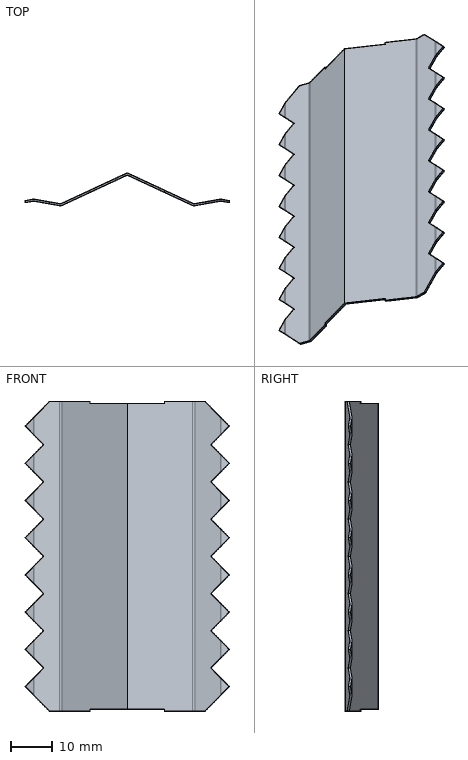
import cadquery as cq
import math

WIDTH = 49.38
DEPTH = 7.99
HEIGHT = 75.0
THICKNESS = 0.52

ROOF_ANGLE = math.radians(24.95)
WING_ANGLE = math.radians(10.0)
TIP_ANGLE = math.radians(10.0)

INNER_RADIUS = 0.5
OUTER_RADIUS = INNER_RADIUS + THICKNESS
TIP_BEND_X = 22.6

TOOTH_COUNT = 8
TOOTH_PITCH = 9.0
TOOTH_DEPTH = TOOTH_PITCH / 2 * math.cos(WING_ANGLE)
CORNER_HEIGHT = (HEIGHT - (TOOTH_COUNT - 1) * TOOTH_PITCH) / 2
CORNER_DEPTH = CORNER_HEIGHT * math.cos(WING_ANGLE)

RELIEF_WIDTH = 18.0
RELIEF_DEPTH = 0.5

TIP_X = WIDTH / 2


def fold_corner(center, radius, inner_slope, outer_slope):
    """Sharp corner of two panel faces tangent to a circle, above it if the radius is positive."""
    lean = (inner_slope + outer_slope) / 2
    reach = radius / math.cos((inner_slope - outer_slope) / 2)
    return center[0] - reach * math.sin(lean), center[1] + reach * math.cos(lean)


def folded_half():
    """The +X half of the sheet: roof slope, wing rising from the valley and turned-down tip."""
    valley_y = OUTER_RADIUS
    roof_drop = DEPTH - valley_y + INNER_RADIUS / math.cos(ROOF_ANGLE)
    valley_center = (roof_drop / math.tan(ROOF_ANGLE), valley_y)
    crown_near_y = DEPTH - THICKNESS / math.cos(ROOF_ANGLE)

    center_gap = OUTER_RADIUS + INNER_RADIUS
    bend_run = TIP_BEND_X - valley_center[0]
    bend_rise = bend_run * math.tan(WING_ANGLE) - center_gap / math.cos(WING_ANGLE)
    tip_center = (TIP_BEND_X, valley_y + bend_rise)

    valley_near = fold_corner(valley_center, -OUTER_RADIUS, -ROOF_ANGLE, WING_ANGLE)
    valley_far = fold_corner(valley_center, -INNER_RADIUS, -ROOF_ANGLE, WING_ANGLE)
    tip_near = fold_corner(tip_center, INNER_RADIUS, WING_ANGLE, -TIP_ANGLE)
    tip_far = fold_corner(tip_center, OUTER_RADIUS, WING_ANGLE, -TIP_ANGLE)

    end_x = TIP_X + THICKNESS
    end_near_y = tip_near[1] - (end_x - tip_near[0]) * math.tan(TIP_ANGLE)
    end_far_y = tip_far[1] - (end_x - tip_far[0]) * math.tan(TIP_ANGLE)

    section = [
        (0, crown_near_y),
        valley_near,
        tip_near,
        (end_x, end_near_y),
        (end_x, end_far_y),
        tip_far,
        valley_far,
        (0, DEPTH),
    ]
    half = cq.Workplane("XY").polyline(section).close().extrude(HEIGHT / 2, both=True)

    bends = [
        (valley_near, OUTER_RADIUS),
        (valley_far, INNER_RADIUS),
        (tip_near, INNER_RADIUS),
        (tip_far, OUTER_RADIUS),
    ]
    for (x, y), radius in bends:
        half = half.edges(cq.selectors.NearestToPointSelector((x, y, 0))).fillet(radius)
    return half


def folded_sheet():
    """Whole folded sheet, mirrored about the crown."""
    half = folded_half()
    return half.union(half.mirror("YZ"))


def toothed_outline():
    """Block whose XZ outline is the plate: clipped corners and toothed upright edges."""
    corner_x = TIP_X - CORNER_DEPTH
    top_z = HEIGHT / 2
    right_edge = [(corner_x, top_z)]
    for tooth in range(TOOTH_COUNT):
        tip_z = top_z - CORNER_HEIGHT - tooth * TOOTH_PITCH
        right_edge.append((TIP_X, tip_z))
        if tooth < TOOTH_COUNT - 1:
            right_edge.append((TIP_X - TOOTH_DEPTH, tip_z - TOOTH_PITCH / 2))
    right_edge.append((corner_x, -top_z))
    left_edge = [(-x, z) for x, z in reversed(right_edge)]
    outline = cq.Workplane("XZ").polyline(right_edge + left_edge).close()
    return outline.extrude(2 * DEPTH, both=True)


def edge_reliefs():
    """Blocks that shorten the middle of the sheet at its top and bottom edges."""
    centers = [(0, HEIGHT / 2), (0, -HEIGHT / 2)]
    reliefs = cq.Workplane("XZ").pushPoints(centers).rect(RELIEF_WIDTH, 2 * RELIEF_DEPTH)
    return reliefs.extrude(2 * DEPTH, both=True)


plate = folded_sheet().intersect(toothed_outline()).cut(edge_reliefs())

result = plate.translate((0, -DEPTH / 2, 0))